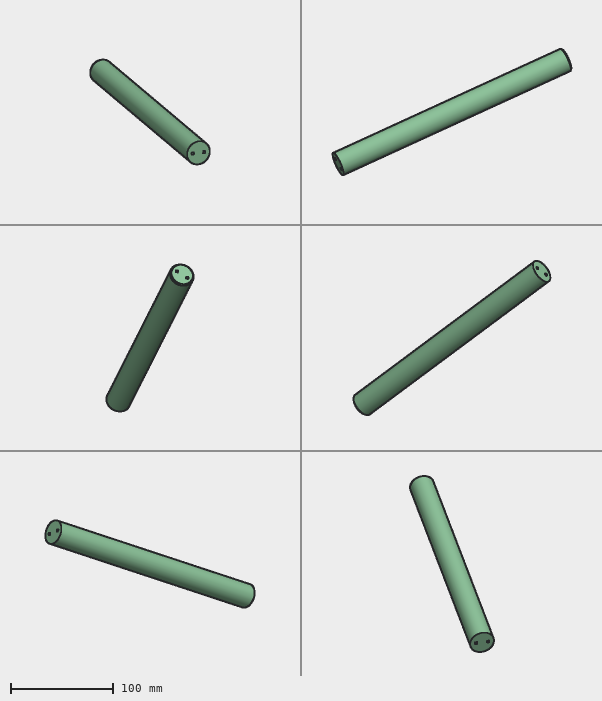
import cadquery as cq
import math

length = 250.0
diameter = 24.0
end_chamfer = 1.2

channel_diameter = 2.5
channel_circle_radius = 6.0
channel_start_angle = 30.0
helix_angle = 30.0
helix_pitch = math.pi * diameter / math.tan(math.radians(helix_angle))
channel_overrun = 2.5


def make_rod():
    rod = cq.Workplane("YZ").circle(diameter / 2).extrude(length)
    return rod.faces("<X").chamfer(end_chamfer)


def make_channel(start_angle):
    path = cq.Wire.makeHelix(helix_pitch, length + 2 * channel_overrun, channel_circle_radius)
    channel = (
        cq.Workplane("XY", origin=path.startPoint().toTuple())
        .circle(channel_diameter / 2)
        .sweep(cq.Workplane(obj=path), isFrenet=True)
    )
    overrun_turn = 360.0 * channel_overrun / helix_pitch
    channel = channel.rotate((0, 0, 0), (0, 0, 1), start_angle - overrun_turn)
    rod_frame = cq.Plane(origin=(-channel_overrun, 0, 0), xDir=(0, 1, 0), normal=(1, 0, 0))
    return cq.Workplane(obj=channel.val().moved(cq.Location(rod_frame)))


result = make_rod()
for turn in (0.0, 180.0):
    result = result.cut(make_channel(channel_start_angle + turn))